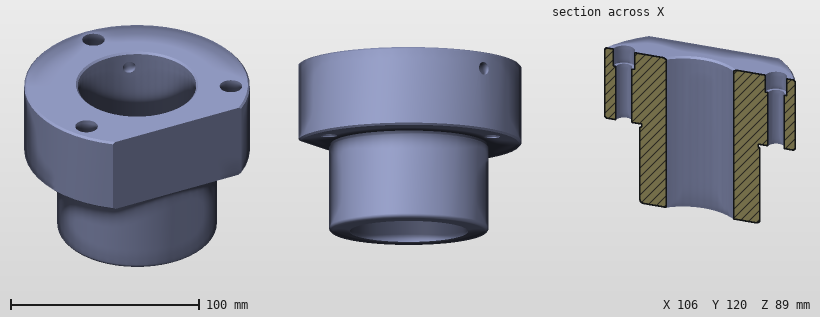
import cadquery as cq
import math

total_height = 89.0
flange_height = 42.0
flange_bottom = total_height - flange_height

flange_radius = 60.0
flange_chamfer = 1.0
flat_offset = 46.0

sleeve_radius = 42.5
sleeve_end_fillet = 2.0
relief_height = 2.0
relief_depth = 0.75

bore_radius = 31.5
bore_chamfer = 1.0

screw_circle_radius = 50.0
screw_hole_diameter = 9.0
screw_head_diameter = 12.0
screw_head_depth = 10.0
screw_count = 3
first_screw_angle = 60.0

port_diameter = 6.8
port_angle = 160.0
port_depth_below_top = 9.0


def make_flange():
    """Chamfered disc with one side cut off by a flat."""
    disc = (
        cq.Workplane("XY")
        .workplane(offset=flange_bottom)
        .circle(flange_radius)
        .extrude(flange_height)
        .edges("%CIRCLE")
        .chamfer(flange_chamfer)
    )
    beyond_flat = (
        cq.Workplane("XY")
        .box(flange_radius, 2 * flange_radius, total_height, centered=(False, True, False))
        .translate((flat_offset, 0, 0))
    )
    return disc.cut(beyond_flat)


def make_sleeve():
    """Sleeve with a rounded lower end and a relief groove, conical on its lower side, under the flange."""
    relief_radius = sleeve_radius - relief_depth
    sleeve_top = flange_bottom - relief_height
    profile = (
        cq.Workplane("XZ")
        .lineTo(sleeve_radius - sleeve_end_fillet, 0)
        .radiusArc((sleeve_radius, sleeve_end_fillet), -sleeve_end_fillet)
        .lineTo(sleeve_radius, sleeve_top)
        .lineTo(relief_radius, sleeve_top + relief_depth)
        .lineTo(relief_radius, flange_bottom)
        .lineTo(0, flange_bottom)
        .close()
    )
    return profile.revolve(360, (0, 0, 0), (0, 1, 0))


def cut_bore(body):
    """Through bore, chamfered at its upper mouth."""
    body = body.cut(cq.Workplane("XY").circle(bore_radius).extrude(total_height))
    mouth = cq.Solid.makeCone(
        bore_radius,
        bore_radius + bore_chamfer,
        bore_chamfer,
        pnt=cq.Vector(0, 0, total_height - bore_chamfer),
    )
    return body.cut(cq.Workplane(mouth))


def cut_screw_holes(body):
    """Counterbored holes through the flange, spread evenly on the screw circle."""
    centers = []
    for index in range(screw_count):
        angle = math.radians(first_screw_angle + index * 360 / screw_count)
        centers.append((screw_circle_radius * math.cos(angle), screw_circle_radius * math.sin(angle)))
    return (
        body.faces(">Z")
        .workplane(origin=(0, 0, total_height))
        .pushPoints(centers)
        .cboreHole(screw_hole_diameter, screw_head_diameter, screw_head_depth)
    )


def cut_port(body):
    """Round radial passage from the bore out through the flange rim."""
    angle = math.radians(port_angle)
    outward = cq.Vector(math.cos(angle), math.sin(angle), 0)
    port = cq.Solid.makeCylinder(
        port_diameter / 2,
        flange_radius,
        pnt=cq.Vector(0, 0, total_height - port_depth_below_top),
        dir=outward,
    )
    return body.cut(cq.Workplane(port))


body = make_flange().union(make_sleeve())
body = cut_bore(body)
body = cut_screw_holes(body)
result = cut_port(body)